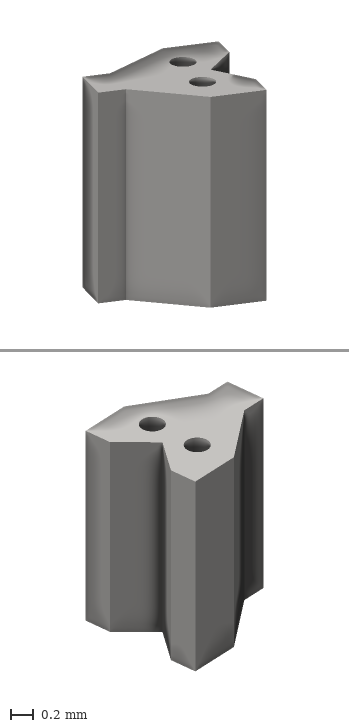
import cadquery as cq

width = 1.28
depth = 1.43
height = 2.0

stem_width = 0.42
stem_length = 0.26
shoulder_y = 0.905
notch_width = 0.712
notch_depth = 0.3

hole_diameter = 0.24
hole_spacing = 0.525
hole_y = 0.962

right_half = [
    (stem_width / 2, 0),
    (stem_width / 2, stem_length),
    (width / 2, shoulder_y),
    (width / 2, depth),
    (notch_width / 2, depth),
]
notch_bottom = (0, depth - notch_depth)
left_half = [(-x, y) for x, y in reversed(right_half)]

body = cq.Workplane("XY").polyline(right_half + [notch_bottom] + left_half).close().extrude(height)

holes = (
    cq.Workplane("XY")
    .pushPoints([(-hole_spacing / 2, hole_y), (hole_spacing / 2, hole_y)])
    .circle(hole_diameter / 2)
    .extrude(height)
)

result = body.cut(holes)